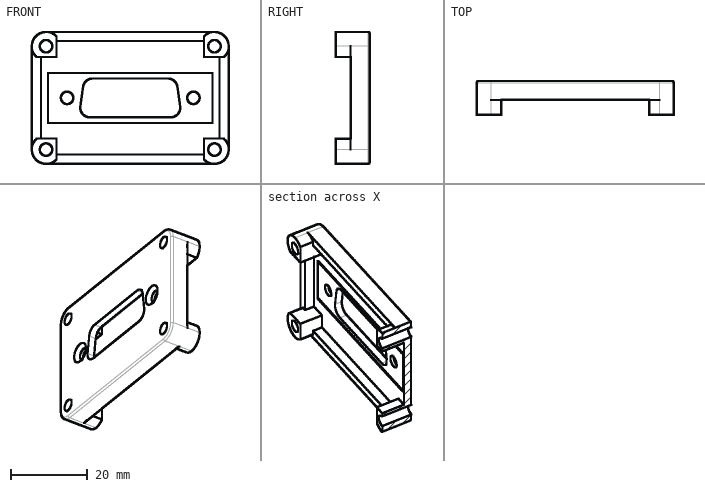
import cadquery as cq
import math

width = 51.5
height = 34.5
total_depth = 8.91
rim_depth = 5.0
floor_thickness = 2.3
wall = 2.4
corner_radius = 3.75
back_edge_radius = 0.5

post_hole_diameter = 3.2
post_inner_reach_x = 2.7
post_inner_reach_z = 2.85

seat_width = 43.0
seat_height = 13.0
seat_depth = 0.2
screw_spacing = 33.0
screw_hole_diameter = 3.2
countersink_diameter = 5.4
countersink_angle = 90.0
cutout_height = 10.1
cutout_mean_width = 25.4
cutout_side_angle = 8.0
cutout_corner_radius = 2.5

back_y = total_depth / 2
floor_y = back_y - floor_thickness
post_end_y = back_y - total_depth

post_x = width / 2 - corner_radius
post_z = height / 2 - corner_radius


def plane_at(y):
    """XZ sketch plane at the given Y; extrusions run toward -Y."""
    return cq.Workplane("XZ", origin=(0, y, 0))


def make_envelope():
    """Rounded block of the full depth with a softened back edge."""
    block = plane_at(back_y).rect(width, height).extrude(total_depth)
    block = block.edges("|Y").fillet(corner_radius)
    return block.faces(">Y").edges().fillet(back_edge_radius)


def make_tray():
    """Floor and rim, with square outer corners that the envelope rounds off."""
    slab = plane_at(back_y).rect(width, height).extrude(rim_depth)
    pocket_depth = rim_depth - floor_thickness
    pocket = plane_at(floor_y).rect(width - 2 * wall, height - 2 * wall).extrude(pocket_depth)
    return slab.cut(pocket)


def make_post(side_x, side_z):
    """Corner post with two flats facing the middle; the envelope rounds its outer corner."""
    flat_x = post_inner_reach_x
    flat_z = post_inner_reach_z

    def placed(u, v):
        """Point u, v away from the post axis, measured toward the middle of the cover."""
        return (side_x * (post_x - u), side_z * (post_z - v))

    def on_circle(angle):
        """Point of the post's round side; 0 and 90 degrees touch the two cover sides."""
        turn = math.radians(angle)
        return placed(-corner_radius * math.cos(turn), -corner_radius * math.sin(turn))

    arc_start = math.degrees(math.asin(-flat_z / corner_radius))
    arc_end = 90 + math.degrees(math.asin(flat_x / corner_radius))
    return (
        plane_at(floor_y)
        .moveTo(*on_circle(arc_start))
        .threePointArc(on_circle(arc_start / 2), on_circle(0))
        .lineTo(*placed(-corner_radius, -corner_radius))
        .lineTo(*on_circle(90))
        .threePointArc(on_circle((90 + arc_end) / 2), on_circle(arc_end))
        .lineTo(*placed(flat_x, flat_z))
        .close()
        .extrude(floor_y - post_end_y)
    )


def make_connector_cutout():
    """D-shaped opening, wider at the bottom, with rounded corners."""
    side_shift = cutout_height / 2 * math.tan(math.radians(cutout_side_angle))
    half_top = cutout_mean_width / 2 - side_shift
    half_bottom = cutout_mean_width / 2 + side_shift
    half_height = cutout_height / 2
    outline = [
        (-half_top, half_height),
        (half_top, half_height),
        (half_bottom, -half_height),
        (-half_bottom, -half_height),
    ]
    cutout = plane_at(back_y).polyline(outline).close().extrude(rim_depth)
    return cutout.edges("|Y").fillet(cutout_corner_radius)


def make_seat():
    """Shallow rectangular recess in the floor around the connector."""
    return plane_at(floor_y + seat_depth).rect(seat_width, seat_height).extrude(seat_depth)


def make_holes(points, diameter):
    """Round holes through the full depth."""
    return plane_at(back_y).pushPoints(points).circle(diameter / 2).extrude(total_depth)


def make_countersink(x):
    """Cone that opens one screw hole toward the back face."""
    hole_radius = screw_hole_diameter / 2
    mouth_radius = countersink_diameter / 2
    depth = (mouth_radius - hole_radius) / math.tan(math.radians(countersink_angle / 2))
    return cq.Workplane(
        cq.Solid.makeCone(
            mouth_radius,
            hole_radius,
            depth,
            pnt=cq.Vector(x, back_y, 0),
            dir=cq.Vector(0, -1, 0),
        )
    )


post_sides = [(sx, sz) for sx in (-1, 1) for sz in (-1, 1)]
post_points = [(sx * post_x, sz * post_z) for sx, sz in post_sides]
screw_points = [(sx * screw_spacing / 2, 0) for sx in (-1, 1)]

result = make_tray()
for side_x, side_z in post_sides:
    result = result.union(make_post(side_x, side_z))
result = make_envelope().intersect(result)
result = result.cut(make_seat())
result = result.cut(make_connector_cutout())
result = result.cut(make_holes(post_points, post_hole_diameter))
result = result.cut(make_holes(screw_points, screw_hole_diameter))
for screw_x, _ in screw_points:
    result = result.cut(make_countersink(screw_x))